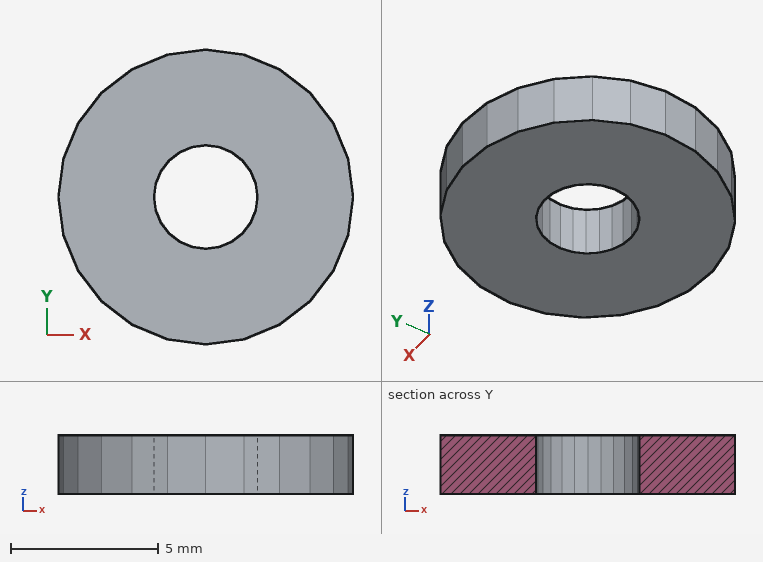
import cadquery as cq

outer_diameter = 10.0
bore_diameter = 3.5
thickness = 2.0
facet_count = 24


def faceted_disc(diameter):
    """Regular prism standing on Z = 0, with one corner on the +X axis."""
    return cq.Workplane("XY").polygon(facet_count, diameter).extrude(thickness)


result = faceted_disc(outer_diameter).cut(faceted_disc(bore_diameter))